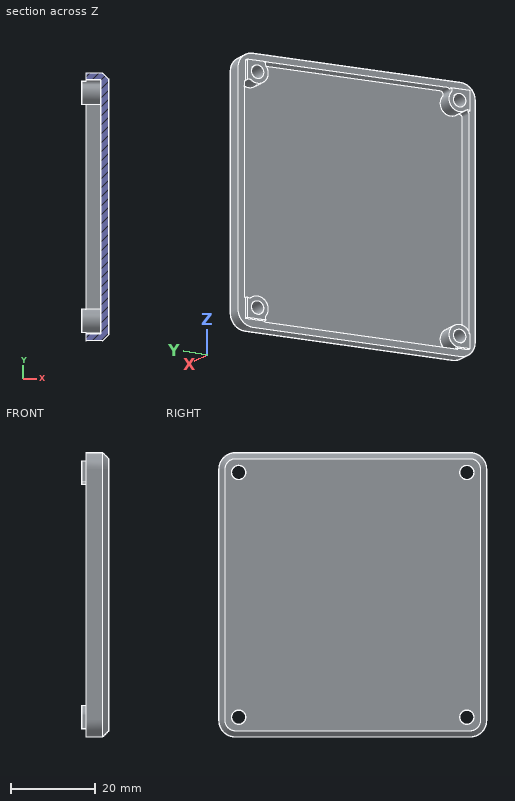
import cadquery as cq
import math

depth = 6.5
width = 63.7
height = 67.6

boss_projection = 1.0
corner_radius = 4.0
outer_chamfer = 1.5
wall = 1.7
pocket_depth = 3.5
rim_x = boss_projection
floor_x = rim_x + pocket_depth

hole_inset = 4.7
hole_diameter = 3.3
boss_radius = 2.85
blend_radius = 0.8
projection_inset = 1.95

hole_y = width / 2 - hole_inset
hole_z = height / 2 - hole_inset


def block(start_x, end_x, inset):
    """Rectangular block spanning start_x to end_x, inset from the lid outline."""
    return cq.Workplane("XY").box(
        end_x - start_x, width - 2 * inset, height - 2 * inset, centered=(False, True, True)
    ).translate((start_x, 0, 0))


def make_shell():
    body = block(rim_x, depth, 0).edges("|X").fillet(corner_radius)
    body = body.faces(">X").chamfer(outer_chamfer)
    return body.cut(block(rim_x, floor_x, wall))


def boss_profile(blended):
    """Boss in the +Y +Z corner, with its local origin at the hole centre."""
    to_wall = hole_inset - wall
    plane = cq.Workplane("YZ")
    round_part = plane.circle(boss_radius).extrude(floor_x)
    corner = plane.rect(to_wall, to_wall, centered=False).extrude(floor_x)
    boss = round_part.union(corner)
    if not blended:
        return boss

    centre_y = to_wall - blend_radius
    centre_distance = boss_radius + blend_radius
    centre_z = -math.sqrt(centre_distance**2 - centre_y**2)
    touch_y = centre_y * boss_radius / centre_distance
    touch_z = centre_z * boss_radius / centre_distance
    middle_angle = math.atan2(-centre_z, -centre_y) / 2
    middle_y = centre_y + blend_radius * math.cos(middle_angle)
    middle_z = centre_z + blend_radius * math.sin(middle_angle)
    web = (
        plane.moveTo(0, 0)
        .lineTo(touch_y, touch_z)
        .threePointArc((middle_y, middle_z), (to_wall, centre_z))
        .lineTo(to_wall, 0)
        .close()
        .extrude(floor_x)
    )
    mirrored_web = web.rotate((0, 0, 0), (0, 1, 1), 180).translate((floor_x, 0, 0))
    return boss.union(web).union(mirrored_web)


def make_bosses():
    bosses = cq.Workplane("XY")
    for y_side in (-1, 1):
        for z_side in (-1, 1):
            boss = boss_profile(blended=(y_side, z_side) != (-1, -1))
            if y_side < 0:
                boss = boss.mirror("XZ")
            if z_side < 0:
                boss = boss.mirror("XY")
            bosses = bosses.add(boss.translate((0, y_side * hole_y, z_side * hole_z)))
    envelope = block(0, rim_x, projection_inset).union(block(rim_x, floor_x, wall))
    return envelope.intersect(bosses.combine())


holes = (
    cq.Workplane("YZ")
    .rect(2 * hole_y, 2 * hole_z, forConstruction=True)
    .vertices()
    .circle(hole_diameter / 2)
    .extrude(depth)
)

result = make_shell().union(make_bosses()).cut(holes)